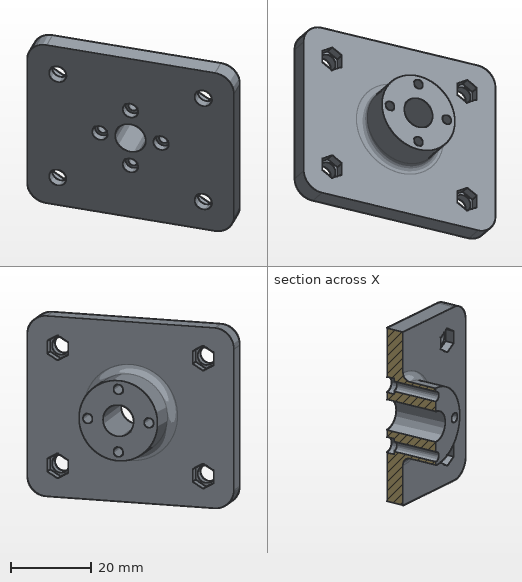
import cadquery as cq
import math

plate_width = 54.05
plate_height = 46.15
plate_thickness = 5.0
corner_radius = 5.0

total_depth = 15.0
boss_diameter = 20.55
boss_fillet = 2.0

bore_diameter = 8.0
mount_hole_diameter = 4.5
nut_across_flats = 5.5
nut_pocket_depth = 2.5
mount_spacing_x = 38.05
mount_spacing_z = 30.15
screw_hole_diameter = 2.5
screw_head_diameter = 4.0
screw_head_depth = 2.2
screw_circle_radius = 8.0
screw_count = 4


def cylinder(diameter, start_y, end_y):
    """Cylinder along +Y, centred on the Y axis."""
    profile = cq.Workplane("XZ", origin=(0, start_y, 0)).circle(diameter / 2)
    return profile.extrude(start_y - end_y)


def make_plate():
    plate = cq.Workplane("XY").box(
        plate_width, plate_thickness, plate_height, centered=(True, False, True)
    )
    return plate.edges("|Y").fillet(corner_radius)


def make_flange():
    """Plate and boss joined by a fillet around the foot of the boss."""
    boss = cylinder(boss_diameter, 0, total_depth)
    foot = cq.selectors.BoxSelector(
        (-boss_diameter, plate_thickness / 2, -boss_diameter),
        (boss_diameter, total_depth / 2, boss_diameter),
    )
    return make_plate().union(boss).edges("%CIRCLE").edges(foot).fillet(boss_fillet)


def cut_mount_holes(body):
    """Corner holes with hexagonal nut pockets sunk in the +Y face, flats toward X."""
    half_hex_angle = 30
    nut_across_corners = nut_across_flats / math.cos(math.radians(half_hex_angle))
    hole = cylinder(mount_hole_diameter, 0, plate_thickness)
    nut = (
        cq.Workplane("XZ", origin=(0, plate_thickness, 0))
        .polygon(6, nut_across_corners)
        .extrude(nut_pocket_depth)
        .rotate((0, 0, 0), (0, 1, 0), half_hex_angle)
    )
    hole = hole.union(nut)
    for x in (-mount_spacing_x / 2, mount_spacing_x / 2):
        for z in (-mount_spacing_z / 2, mount_spacing_z / 2):
            body = body.cut(hole.translate((x, 0, z)))
    return body


def cut_screw_holes(body):
    """Counterbored holes through the boss, with the heads sunk in the -Y face."""
    hole = cylinder(screw_hole_diameter, 0, total_depth)
    hole = hole.union(cylinder(screw_head_diameter, 0, screw_head_depth))
    hole = hole.translate((screw_circle_radius, 0, 0))
    for i in range(screw_count):
        angle = i * 360 / screw_count
        body = body.cut(hole.rotate((0, 0, 0), (0, 1, 0), angle))
    return body


result = make_flange().cut(cylinder(bore_diameter, 0, total_depth))
result = cut_screw_holes(cut_mount_holes(result))